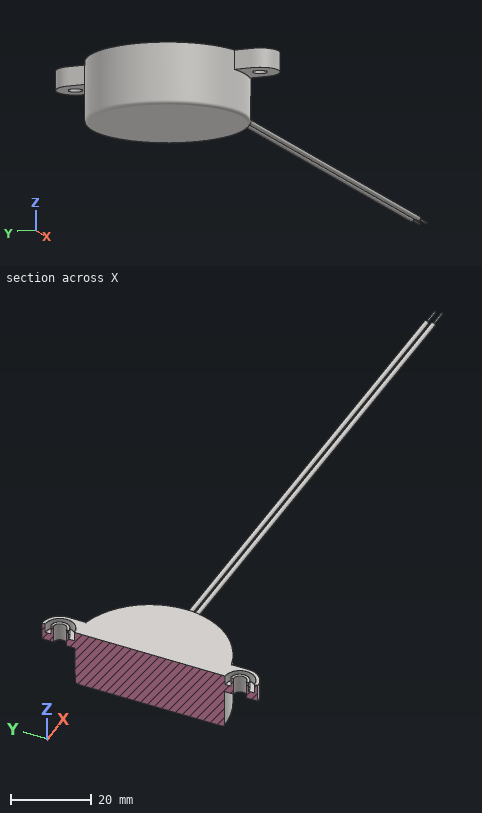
import cadquery as cq

housing_diameter = 41.6
housing_height = 16.0
bottom_fillet = 1.0

overall_width = 60.0
lug_width = 10.0
lug_thickness = 5.0
lug_offset = (overall_width - lug_width) / 2
groove_diameter = 8.0
groove_depth = 2.6
collar_diameter = 5.0
hole_diameter = 3.5

overall_length = 185.8
lead_diameter = 1.3
lead_spacing = 1.9
lead_drop = 4.0
bare_length = 5.0
core_diameter = 0.5
lead_root_depth = 1.9

housing_radius = housing_diameter / 2
tip_x = overall_length - housing_radius


def make_housing():
    body = cq.Workplane("XY").circle(housing_radius).extrude(-housing_height)
    return body.faces("<Z").fillet(bottom_fillet)


def make_lug(side):
    center_y = side * lug_offset
    arm = (
        cq.Workplane("XY")
        .center(0, center_y / 2)
        .rect(lug_width, lug_offset)
        .extrude(-lug_thickness)
    )
    end = cq.Workplane("XY").center(0, center_y).circle(lug_width / 2).extrude(-lug_thickness)
    return arm.union(end)


def make_lug_cut(side):
    start = cq.Workplane("XY").center(0, side * lug_offset)
    groove = start.circle(groove_diameter / 2).circle(collar_diameter / 2).extrude(-groove_depth)
    hole = start.circle(hole_diameter / 2).extrude(-lug_thickness)
    return groove.union(hole)


def make_lead(side):
    root_x = housing_radius - lead_root_depth
    start = cq.Workplane("YZ", origin=(root_x, side * lead_spacing / 2, -lead_drop))
    insulation = start.circle(lead_diameter / 2).extrude(tip_x - bare_length - root_x)
    core = start.circle(core_diameter / 2).extrude(tip_x - root_x)
    return insulation.union(core)


result = make_housing()
for side in (-1, 1):
    result = result.union(make_lug(side)).cut(make_lug_cut(side)).union(make_lead(side))